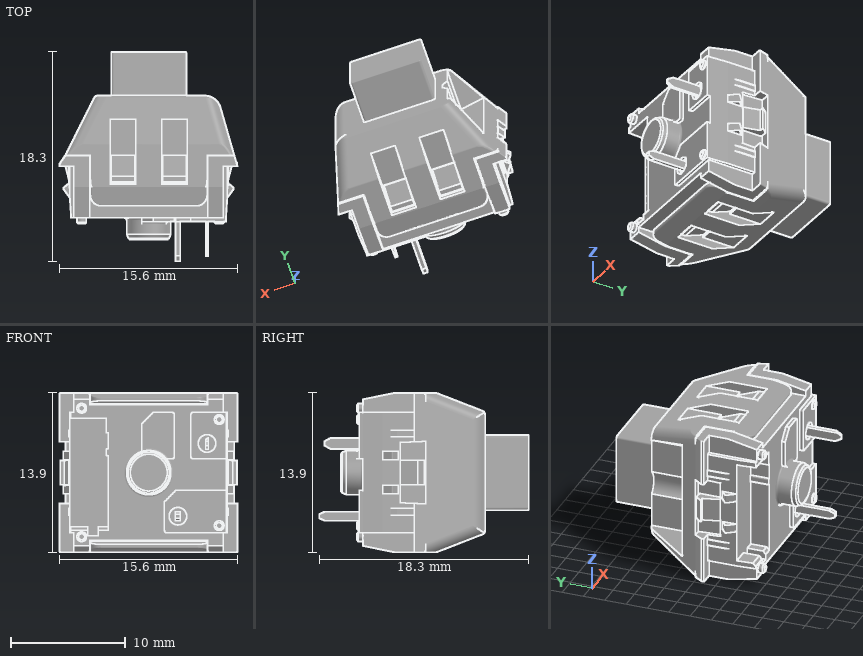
import cadquery as cq
import math


PAD_BOTTOM = -0.33
FOOT_BOTTOM = -0.53
TAPER_TOP = 2.7
NOTCH_BOTTOM = 3.28
FLANGE_BOTTOM = 4.48
SEAM = 5.47
CAP_SHOULDER = 6.45
CAP_TOP = 10.69
STEM_TOP = 14.5

AXIS_X = 0.02
HALF_DEPTH = 6.95
BOTTOM_HALF_DEPTH = 6.4
FLANGE_HALF_WIDTH = 7.78
CORNER_HALF_WIDTH = 6.51
BODY_HALF_WIDTH = 6.88
BODY_BOTTOM_HALF_WIDTH = 6.77
BODY_HALF_DEPTH = 5.25
RECESS_FLOOR = 1.74

CAP_LEFT = -7.27
CAP_RIGHT = 7.48
CAP_LEFT_TOP = -4.65
CAP_RIGHT_TOP = 5.98
CAP_TOP_HALF_DEPTH = 5.3
END_SLOPE = (HALF_DEPTH - CAP_TOP_HALF_DEPTH) / (CAP_TOP - CAP_SHOULDER)
CORNER_RADIUS = 1.13
SHOULDER_RADIUS = 0.27
TONGUE_HALF_WIDTH = 5.09
TOP_RADIUS = 0.4
RIGHT_TOP_RADIUS = 1.5

STUD_RADIUS = 1.94
ROOT_FILLET = 0.2
WELL_RADIUS = 0.77

UPPER_PIN = dict(
    x=5.1, z=2.55, thickness=0.2, half_width=0.5,
    tip=-3.37, tip_length=0.55, tip_half_width=0.18, bevel=0.13,
)
LOWER_PIN = dict(
    x=2.56, z=-3.8, thickness=0.42, half_width=0.4,
    tip=-3.8, tip_length=0.48, tip_half_width=0.18, bevel=0,
)

CUT_MARGIN = 0.18


def box(x0, x1, y0, y1, z0, z1):
    return cq.Workplane("XY").box(x1 - x0, y1 - y0, z1 - z0, centered=False).translate((x0, y0, z0))


def along_z(points, z0, z1):
    """Extrude an (x, y) outline between two Z positions."""
    return cq.Workplane("XY").workplane(offset=z0).polyline(points).close().extrude(z1 - z0)


def along_x(points, x0, x1):
    """Extrude a (y, z) outline between two X positions."""
    return cq.Workplane("YZ").workplane(offset=x0).polyline(points).close().extrude(x1 - x0)


def along_y(points, y0, y1):
    """Extrude an (x, z) outline between two Y positions."""
    return cq.Workplane("XZ").workplane(offset=-y1).polyline(points).close().extrude(y1 - y0)


def turned(points, x, z):
    """Revolve a (radius, y) outline about the Y direction through (x, z)."""
    profile = cq.Workplane("XY").polyline(points).close()
    return profile.revolve(360, (0, 0, 0), (0, 1, 0)).translate((x, 0, z))


def mirrored_x(solid):
    return solid.union(solid.mirror("YZ"))


def mirrored_z(solid):
    return solid.union(solid.mirror("XY"))


def make_cap():
    sides = along_z(
        [(CAP_LEFT, SEAM), (CAP_RIGHT, SEAM), (CAP_RIGHT_TOP, CAP_TOP), (CAP_LEFT_TOP, CAP_TOP)],
        -2 * HALF_DEPTH, 2 * HALF_DEPTH,
    )
    low, high = HALF_DEPTH + (CAP_SHOULDER - SEAM) * END_SLOPE, CAP_TOP_HALF_DEPTH
    ends = along_x(
        [(SEAM, -low), (SEAM, low), (CAP_TOP, high), (CAP_TOP, -high)],
        -FLANGE_HALF_WIDTH, FLANGE_HALF_WIDTH,
    )
    cap = sides.intersect(ends).edges("not(#Y or |X or |Z)").fillet(CORNER_RADIUS)

    rounding = along_z(
        [(CAP_LEFT, SEAM), (CAP_RIGHT, SEAM), (CAP_RIGHT_TOP, CAP_TOP), (CAP_LEFT, CAP_TOP)],
        -2 * HALF_DEPTH, 2 * HALF_DEPTH,
    )
    rounding = rounding.edges("|Z and >Y").edges(">X").fillet(RIGHT_TOP_RADIUS)
    cap = cap.faces(">Y").edges().fillet(TOP_RADIUS).intersect(rounding)
    end_trim = box(
        -FLANGE_HALF_WIDTH, FLANGE_HALF_WIDTH, SEAM, CAP_TOP, -HALF_DEPTH, HALF_DEPTH
    )
    cap = cap.intersect(end_trim)
    for end_face in (">Z", "<Z"):
        cap = cap.faces(end_face).edges(">Y").fillet(SHOULDER_RADIUS)
    return cap.cut(make_side_pocket())


def make_side_pocket():
    """Flared pocket in the left cap face, with a round groove down its floor."""
    bottom = 7.0
    floor_x = -4.41
    floor_half_depth = 4.2
    flare = 0.63
    outer_half_depth = floor_half_depth + (floor_x + FLANGE_HALF_WIDTH) * flare
    pocket = along_y(
        [
            (floor_x, -floor_half_depth), (floor_x, floor_half_depth),
            (-FLANGE_HALF_WIDTH, outer_half_depth), (-FLANGE_HALF_WIDTH, -outer_half_depth),
        ],
        bottom, CAP_TOP,
    )
    groove_half_width = 1.1
    groove_radius = 1.46
    axis_x = floor_x - math.sqrt(groove_radius**2 - groove_half_width**2)
    groove = cq.Workplane("XZ").workplane(offset=-CAP_TOP).center(axis_x, 0)
    groove = groove.circle(groove_radius).extrude(CAP_TOP - bottom)
    return pocket.union(groove)


def make_stem():
    half_width = 3.3
    side_radius = 0.25
    top_edge = 0.11
    stem = box(AXIS_X - half_width, AXIS_X + half_width, SEAM, STEM_TOP, -half_width, half_width)
    return stem.edges("|Y").fillet(side_radius).faces(">Y").edges().fillet(top_edge)


def make_base():
    middle = along_z(
        [
            (-BODY_BOTTOM_HALF_WIDTH, 0), (BODY_BOTTOM_HALF_WIDTH, 0),
            (BODY_HALF_WIDTH, RECESS_FLOOR), (BODY_HALF_WIDTH, SEAM),
            (-BODY_HALF_WIDTH, SEAM), (-BODY_HALF_WIDTH, RECESS_FLOOR),
        ],
        -BODY_HALF_DEPTH, BODY_HALF_DEPTH,
    )
    ends = along_x(
        [
            (0, -BOTTOM_HALF_DEPTH), (0, BOTTOM_HALF_DEPTH),
            (TAPER_TOP, HALF_DEPTH), (SEAM, HALF_DEPTH),
            (SEAM, -HALF_DEPTH), (TAPER_TOP, -HALF_DEPTH),
        ],
        -CORNER_HALF_WIDTH, CORNER_HALF_WIDTH,
    )
    return middle.union(ends)


def make_flange():
    """Flange around the base under the cap."""
    left_lip_top = 4.72
    corner_radius = 0.11
    outline = [
        (-FLANGE_HALF_WIDTH, FLANGE_BOTTOM), (FLANGE_HALF_WIDTH, FLANGE_BOTTOM),
        (CAP_RIGHT, SEAM), (CAP_LEFT, SEAM), (-FLANGE_HALF_WIDTH, left_lip_top),
    ]
    flange = along_z(outline, -HALF_DEPTH, HALF_DEPTH)
    return flange.faces("<Z or >Z").edges("not(|X)").fillet(corner_radius)


def make_side_notch():
    """Notch through the left and right base walls, between the flanges."""
    floor_x = 6.55
    bottom_half_depth = 2.64
    top_half_depth = 2.73
    return mirrored_x(along_x(
        [
            (NOTCH_BOTTOM, -bottom_half_depth), (NOTCH_BOTTOM, bottom_half_depth),
            (SEAM, top_half_depth), (SEAM, -top_half_depth),
        ],
        floor_x, FLANGE_HALF_WIDTH,
    ))


def make_side_clips():
    """Central clips, hooks and ribs on the left and right sides of the base."""
    embedding = 0.37
    inside = BODY_HALF_WIDTH - embedding
    clip_half_depth = 1.06
    clip_root, clip_tip = 5.38, 4.8
    clip_reach = 7.72
    clip_face_top, clip_face_bottom = 7.34, 6.95
    clip = along_z(
        [
            (inside, clip_root), (-CAP_LEFT, clip_root),
            (clip_reach, clip_tip), (clip_face_top, clip_tip),
            (clip_face_bottom, NOTCH_BOTTOM), (inside, NOTCH_BOTTOM),
        ],
        -clip_half_depth, clip_half_depth,
    )

    hook_near, hook_far = 1.12, 1.87
    hook_top, hook_tip = 3.1, 2.58
    hook_reach = 7.48
    hook_tip_radius = 0.11
    hook = along_z(
        [
            (inside, hook_top), (BODY_HALF_WIDTH, hook_top), (hook_reach, hook_tip),
            (BODY_HALF_WIDTH, RECESS_FLOOR), (inside, RECESS_FLOOR),
        ],
        hook_near, hook_far,
    ).edges("|Z and >X").fillet(hook_tip_radius)

    rib_near, rib_far = 3.13, 3.71
    rib_ramp_top, rib_bottom = 2.98, 2.47
    rib_height = 0.07
    rib_face = BODY_HALF_WIDTH + rib_height
    rib = along_z(
        [
            (inside, FLANGE_BOTTOM), (rib_face, FLANGE_BOTTOM), (rib_face, rib_ramp_top),
            (BODY_HALF_WIDTH, rib_bottom), (inside, rib_bottom),
        ],
        rib_near, rib_far,
    )
    pairs = mirrored_z(hook.union(rib))
    return mirrored_x(clip.union(pairs))


def make_underside_recess():
    """Recess open to the left in the underside of the base."""
    outer_x = -FLANGE_HALF_WIDTH
    end_depth = 4.74
    chamfer_height = 0.25
    chamfer_reach = 5.01
    wall_x, stepped_wall_x = -3.53, -3.7
    step_z = 3.5
    recess = box(outer_x, stepped_wall_x, 0, RECESS_FLOOR, -end_depth, end_depth)
    recess = recess.union(box(stepped_wall_x, wall_x, 0, RECESS_FLOOR, -end_depth, step_z))
    recess = recess.union(along_x(
        [(0, -chamfer_reach), (0, -end_depth), (chamfer_height, -end_depth)], outer_x, wall_x
    ))
    slot_left, slot_right = -5.29, -4.37
    slot_end = -5.5
    slot = box(slot_left, slot_right, 0, RECESS_FLOOR, slot_end, -end_depth)
    rib_low, rib_high = 1.46, 2.09
    rib_radius = 0.15
    rib = box(stepped_wall_x, wall_x, 0, RECESS_FLOOR, rib_low, rib_high)
    rib = rib.edges("|Y and <X").fillet(rib_radius)
    return recess.union(slot).cut(rib)


def make_seam_grooves():
    """Shallow grooves in an end face, between the base corners and the cap."""
    width = 0.07
    depth = 0.11
    left, right = AXIS_X - TONGUE_HALF_WIDTH, AXIS_X + TONGUE_HALF_WIDTH
    left_groove = box(
        -FLANGE_HALF_WIDTH, left, SEAM - width, SEAM, HALF_DEPTH - depth, HALF_DEPTH
    )
    right_groove = box(
        right, FLANGE_HALF_WIDTH, SEAM - width, SEAM, HALF_DEPTH - depth, HALF_DEPTH
    )
    return left_groove.union(right_groove)


def make_tongue_clearance():
    """Gap around a cap tongue that hangs over the end wall of the base."""
    side_gap = 0.07
    wall_z = 5.91
    back_gap = 0.1
    tongue_bottom = 1.05
    tongue_bottom_back_z = 6.25
    corner_radius = 0.93
    outer_z = HALF_DEPTH + CUT_MARGIN
    left, right = AXIS_X - TONGUE_HALF_WIDTH, AXIS_X + TONGUE_HALF_WIDTH
    opening = box(left - side_gap, right + side_gap, 0, TAPER_TOP, wall_z, outer_z)
    opening = opening.union(
        box(left - side_gap, right + side_gap, TAPER_TOP, SEAM, tongue_bottom_back_z, outer_z)
    )
    edge_radius = 0.13
    end_taper = (HALF_DEPTH - BOTTOM_HALF_DEPTH) / TAPER_TOP
    tongue = along_x(
        [
            (tongue_bottom, tongue_bottom_back_z),
            (tongue_bottom, BOTTOM_HALF_DEPTH + tongue_bottom * end_taper),
            (TAPER_TOP, HALF_DEPTH), (SEAM, HALF_DEPTH),
            (SEAM, wall_z + back_gap), (TAPER_TOP, wall_z + back_gap),
        ],
        left, right,
    )
    corner_trim = box(left, right, tongue_bottom, SEAM, wall_z, outer_z)
    corner_trim = corner_trim.edges("|Z and <Y").fillet(corner_radius)
    tongue = tongue.intersect(corner_trim)
    tongue = tongue.faces("<Y").edges(">Z").fillet(edge_radius)
    return opening.cut(tongue)


def make_latch_windows():
    """Two windows in an end face, each with a ramped latch at the bottom."""
    half_spacing = 2.23
    half_width = 1.12
    latch_half_width = 1.02
    bottom = 2.93
    latch_foot = 3.04
    latch_chamfer = 0.11
    ramp_end = 3.62
    top_z = 6.11
    latch_low_z = 5.9
    latch_high_z = latch_low_z + (SEAM - ramp_end) * END_SLOPE
    floor_z = 5.67
    outer_z = HALF_DEPTH + CUT_MARGIN
    top = CAP_SHOULDER + (HALF_DEPTH - top_z) / END_SLOPE
    cuts = cq.Workplane("XY")
    for x in (AXIS_X - half_spacing, AXIS_X + half_spacing):
        window = box(x - half_width, x + half_width, SEAM, top, top_z, outer_z)
        window = window.union(box(x - half_width, x + half_width, bottom, SEAM, floor_z, outer_z))
        latch = along_x(
            [
                (latch_foot, floor_z), (latch_foot, latch_high_z - latch_chamfer),
                (latch_foot + latch_chamfer, latch_high_z), (ramp_end, latch_high_z),
                (SEAM, latch_low_z), (SEAM, floor_z),
            ],
            x - latch_half_width, x + latch_half_width,
        )
        cuts = cuts.add(window.cut(latch))
    return cuts.combine()


def make_root_fillet(y):
    """Concave ring around the stud, sitting on the face at height y."""
    outer = STUD_RADIUS + ROOT_FILLET
    bottom = y - ROOT_FILLET
    ring = cq.Workplane("XY").moveTo(0, y).lineTo(outer, y)
    ring = ring.radiusArc((STUD_RADIUS, bottom), -ROOT_FILLET).lineTo(0, bottom).close()
    return ring.revolve(360, (0, 0, 0), (0, 1, 0)).translate((AXIS_X, 0, 0))


def make_pads():
    """Raised pads on the underside, two of them with a round well for a pin."""
    right = BODY_BOTTOM_HALF_WIDTH
    edge_radius = 0.18
    near, far = 1.2, BODY_HALF_DEPTH
    corner_cut = 0.99

    left, centre_right = -0.59, 2.25
    centre_outline = [
        (left, near), (centre_right, near), (centre_right, far),
        (left + corner_cut, far), (left, far - corner_cut),
    ]
    centre_pad = along_y(centre_outline, PAD_BOTTOM, 0).edges("|Y and >X").fillet(edge_radius)
    root = make_root_fillet(PAD_BOTTOM).intersect(
        along_y(centre_outline, PAD_BOTTOM - ROOT_FILLET, PAD_BOTTOM)
    )

    left = 3.7
    upper_outline = [(left, near), (right, near), (right, far), (left, far)]
    upper_pad = along_y(upper_outline, PAD_BOTTOM, 0).edges("|Y and <X").fillet(edge_radius)

    left, top = 1.39, -1.55
    lower_outline = [
        (left, -far), (right, -far), (right, top),
        (left + corner_cut, top), (left, top - corner_cut),
    ]
    lower_pad = along_y(lower_outline, PAD_BOTTOM, 0).edges("|Y and <X and <Z").fillet(edge_radius)
    return centre_pad.union(root).union(upper_pad).union(lower_pad)


def make_stud():
    straight_end, taper_end, bottom = -1.43, -1.78, -1.92
    taper_radius, bottom_radius = 1.8, 1.61
    body = turned(
        [
            (0, 0), (STUD_RADIUS, 0), (STUD_RADIUS, straight_end),
            (taper_radius, taper_end), (bottom_radius, bottom), (0, bottom),
        ],
        AXIS_X, 0,
    )
    return body.union(make_root_fillet(0))


def make_feet():
    radius = 0.42
    chamfer = 0.15
    feet = cq.Workplane("XY")
    for x, z in [(-5.84, 5.62), (-5.84, -5.6), (6.17, 4.63), (6.17, -4.63)]:
        feet = feet.add(turned(
            [
                (0, 0), (radius, 0), (radius, FOOT_BOTTOM + chamfer),
                (radius - chamfer, FOOT_BOTTOM), (0, FOOT_BOTTOM),
            ],
            x, z,
        ))
    return feet.combine()


def make_pin(x, z, thickness, half_width, tip, tip_length, tip_half_width, bevel):
    shoulder = tip + tip_length
    pin = along_x(
        [
            (RECESS_FLOOR, z - half_width), (shoulder, z - half_width), (tip, z - tip_half_width),
            (tip, z + tip_half_width), (shoulder, z + half_width), (RECESS_FLOOR, z + half_width),
        ],
        x - thickness / 2, x + thickness / 2,
    )
    if bevel:
        left, right, top = x - thickness / 2, x + thickness / 2, z + half_width
        pin = pin.cut(along_y([(left, top - bevel), (left, top), (right, top)], tip, RECESS_FLOOR))
    return pin


def make_wells():
    centres = [(pin["x"], pin["z"]) for pin in (UPPER_PIN, LOWER_PIN)]
    wells = cq.Workplane("XZ").pushPoints(centres)
    return wells.circle(WELL_RADIUS).extrude(-PAD_BOTTOM)


result = make_base().union(make_flange()).cut(make_side_notch()).union(make_side_clips())
result = result.cut(mirrored_z(make_seam_grooves())).union(make_cap())
result = result.cut(mirrored_z(make_tongue_clearance())).cut(mirrored_z(make_latch_windows()))
result = result.cut(make_underside_recess()).union(make_stem())
result = result.union(make_pads()).cut(make_wells())
result = result.union(make_stud()).union(make_feet())
for pin in (UPPER_PIN, LOWER_PIN):
    result = result.union(make_pin(**pin))